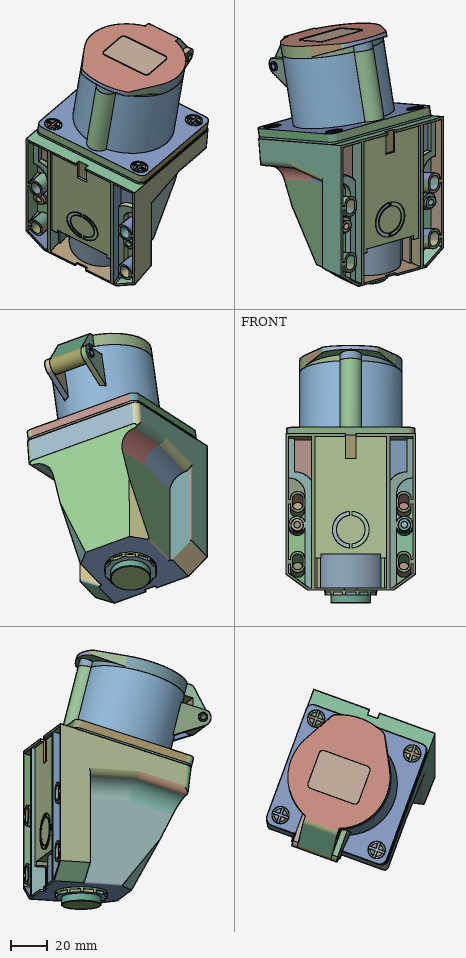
import cadquery as cq
import math


TILT = 14.2
SLOPE = math.tan(math.radians(TILT))
FACE_Y, FACE_Z = 43.15, 80.46
tilted = cq.Plane(
    origin=(0, FACE_Y, FACE_Z),
    xDir=(1, 0, 0),
    normal=(0, math.sin(math.radians(TILT)), math.cos(math.radians(TILT))),
)

PLATE = 70.0
PLATE_CORNER = 4.0
PLATE_THICK = 4.6
BARREL_R = 28.0
BARREL_H = 39.3
KEY_R = 6.0
KEY_OFFSET = 27.0
SCREW_PITCH = 56.2
SCREW_RECESS_D = 9.5
SCREW_HEAD_D = 9.3
SCREW_TOP_D = 7.0
SCREW_SLOT_W = 1.4
SCREW_DEPTH = 0.6

LID_H = 6.9
LID_TOP = BARREL_H + LID_H
SPOUT_R = 34.4
SPOUT_START = 13.4
SPOUT_TIP_THICK = 2.2
SPOUT_CORNER = 4.0
SPOUT_ROOT_GAP = 0.7
LABEL_X, LABEL_Y, LABEL_CORNER, LABEL_DEPTH = 29.6, 22.0, 2.3, 0.4
HINGE_Y, HINGE_Z = 87.8, 99.8
HINGE_R = 4.75
EAR_OUT, EAR_IN = 13.1, 9.9
EAR_TOP = 34.0
EAR_FOOT = 14.6
EAR_ROOT = 20.0
PIN_D, PIN_BORE, PIN_HALF = 5.0, 3.35, 14.0
STRAP_INNER_Y = HINGE_Y - HINGE_R
STRAP_CREST_Y = 83.2
STRAP_CREST_R = 3.0

HALF_W = 35.5
RIM_DROP = 5.75
HOOD_BACK_Y, HOOD_BACK_Z = 73.7, 53.0
HOOD_TOP_BACK_Y = 75.3
HOOD_CORNER = 3.2
HOOD_UNDER_Z = 61.6
BEND_Y = 45.2
HOOD_ROUND_R = 3.9
COVE_R = 9.7
BELLY_HALF = HALF_W - HOOD_ROUND_R - COVE_R
BELLY_FOOT_Y = 47.0
BELLY_CUT_Y, BELLY_CUT_Z = 60.2, 26.9
BELLY_CUT_FOOT_Y = 39.0
BELLY_CUT_X = 14.0
FLANGE_Y = 17.3
EDGE_ROUND = 0.9
FLANGE_CUT_X, FLANGE_CUT_Z = 12.0, 8.7

WALL = 1.4
FLOOR = 1.1
RIB_OUT, RIB_IN = 21.5, 19.6
BAY_DEPTH = 5.2
OUTER_BAY_X = 25.0
OUTER_BAY_DEPTH = 9.5
OUTER_BAY_Z = 61.2
OUTER_BAY_R = 8.8
UPPER_BAY_X = 30.7
UPPER_BAY_DEPTH = 7.9
UPPER_BAY_Z = 64.6
UPPER_BAY_LOW_Z = 59.8
PANEL_DEPTH = 1.8
PANEL_SLOT_W, PANEL_SLOT_Z, PANEL_SLOT_DEPTH = 5.9, 72.0, 3.0
FLOOR_NOTCH_W = 6.6
KNOCKOUT_Z, KNOCKOUT_D, KNOCKOUT_IN_D = 33.0, 20.0, 15.6
KNOCKOUT_BRIDGE, KNOCKOUT_DEPTH = 1.2, 0.5
ENTRY_Z, ENTRY_NOTCH_Z, ENTRY_NOTCH_W = 17.5, 19.7, 32.3
ENTRY_DEPTH = 14.5
ENTRY_STEP_X, ENTRY_STEP_DEPTH = 18.4, 8.0
ENTRY_R = 18.4

BOSS_X = 29.0
BOSS_ZS = (15.4, 48.2)
BOSS_W, BOSS_L = 8.0, 11.5
SLOT_W, SLOT_L = 5.7, 8.6
BOSS_FALL = 0.28
SLOT_DEPTH = 16.4
WEB_T = 2.4
PILLAR_X, PILLAR_Z = 29.3, 35.7
PILLAR_D, PILLAR_BASE_D, PILLAR_HOLE_D = 6.75, 9.3, 3.5
PILLAR_FACE, PILLAR_BASE_FACE = 3.2, 5.2
PILLAR_HOLE_DEPTH = 8.0

GLAND_Y = 22.4
GLAND_D, GLAND_H, GLAND_DISC_H = 28.6, 2.8, 1.1
GRIP_COUNT, GRIP_R, GRIP_DEPTH = 12, 10.0, 0.7
GRIP_OFFSET = GLAND_D / 2 + GRIP_R - GRIP_DEPTH
TUBE_D, TUBE_BOTTOM, TUBE_CHAMFER = 21.75, -7.04, 0.3

CLEAR = 100.0


def sloped_z(y, below):
    """Height at depth y of the plane parallel to the plate, the given distance below its top."""
    return FACE_Z - (y - FACE_Y) * SLOPE - below / math.cos(math.radians(TILT))


def in_side_plane(across, along):
    """Y and Z of a point given across and along the tilted socket axis."""
    point = tilted.toWorldCoords((0, across, along))
    return point.y, point.z


def from_wall(depth_start, depth, sketch):
    """Extrude an XZ outline away from the wall between two depths."""
    plane = cq.Workplane("XZ", origin=(0, depth_start, 0))
    return sketch(plane).extrude(depth_start - depth)


def side_prism(points, half_width):
    """Prism across X from a YZ outline."""
    return cq.Workplane("YZ").polyline(points).close().extrude(half_width, both=True)


def both_sides(shape):
    return shape.union(shape.mirror("YZ"))


def at_height(height):
    return cq.Workplane(tilted).workplane(offset=height)


def rounded_slab(height, size_x, size_y, thick, corner):
    """Rectangular slab square to the socket axis, with rounded corners."""
    slab = at_height(height).rect(size_x, size_y).extrude(thick)
    return slab.edges(cq.selectors.ParallelDirSelector(tilted.zDir)).fillet(corner)


def hood_section(plane, drop):
    """Cross-section: wide hood, rounded edge, cove and narrow belly; drop lowers it all."""
    z = HOOD_UNDER_Z - drop
    diag = math.sqrt(0.5)
    knee_x = HALF_W - HOOD_ROUND_R
    knee_z = z - HOOD_ROUND_R
    round_mid = (knee_x + HOOD_ROUND_R * diag, z - HOOD_ROUND_R * diag)
    cove_mid = (knee_x - COVE_R * diag, knee_z - COVE_R + COVE_R * diag)
    cove_end = (BELLY_HALF, knee_z - COVE_R)
    return (
        plane.moveTo(0, CLEAR)
        .lineTo(HALF_W, CLEAR)
        .lineTo(HALF_W, z)
        .threePointArc(round_mid, (knee_x, knee_z))
        .threePointArc(cove_mid, cove_end)
        .lineTo(BELLY_HALF, -CLEAR)
        .lineTo(0, -CLEAR)
        .close()
    )


def hood_and_belly():
    level = hood_section(cq.Workplane("XZ"), 0).extrude(-CLEAR)
    bend_plane = cq.Plane(
        origin=(0, BEND_Y, HOOD_UNDER_Z), xDir=(1, 0, 0), normal=(0, -tilted.yDir.y, -tilted.yDir.z)
    )
    sloping = hood_section(cq.Workplane(bend_plane), HOOD_UNDER_Z).extrude(CLEAR / 2, both=True)
    half = level.union(sloping)
    back_top = (HOOD_TOP_BACK_Y, sloped_z(HOOD_TOP_BACK_Y, RIM_DROP))
    outline = side_prism(
        [
            (FLANGE_Y / 2, 0),
            (BELLY_FOOT_Y, 0),
            (HOOD_BACK_Y, HOOD_BACK_Z),
            back_top,
            (FLANGE_Y / 2, sloped_z(FLANGE_Y / 2, RIM_DROP)),
        ],
        HALF_W,
    )
    back_mid_z = (HOOD_BACK_Z + back_top[1]) / 2
    back_mid_y = (HOOD_BACK_Y + HOOD_TOP_BACK_Y) / 2
    for x in (-HALF_W, HALF_W):
        nearest = cq.selectors.NearestToPointSelector((x, back_mid_y, back_mid_z))
        outline = outline.edges(nearest).fillet(HOOD_CORNER)
    body = both_sides(half).intersect(outline)
    return body.faces("<Z").edges("|Y").fillet(EDGE_ROUND).cut(belly_corner_cut())


def belly_corner_cut():
    """Wedges that slice the lower rear corners of the belly."""
    upper = cq.Vector(BELLY_HALF, BELLY_CUT_Y, BELLY_CUT_Z)
    side_foot = cq.Vector(BELLY_HALF, BELLY_CUT_FOOT_Y, 0)
    rear_foot = cq.Vector(BELLY_CUT_X, BELLY_FOOT_Y, 0)
    normal = (side_foot - upper).cross(rear_foot - upper)
    if normal.x < 0:
        normal = normal * -1
    plane = cq.Plane(origin=upper.toTuple(), xDir=(side_foot - upper).toTuple(), normal=normal.toTuple())
    wedge = cq.Workplane(plane).rect(CLEAR, CLEAR).extrude(BELLY_HALF)
    below_hood = cq.Workplane("XY").rect(CLEAR, 2 * CLEAR).extrude(BELLY_CUT_Z)
    return both_sides(wedge.intersect(below_hood))


def flange_outline(inset, bottom):
    """Wall outline with its lower corners cut off; the top runs past the roof."""
    side = HALF_W - inset
    cut_slope = FLANGE_CUT_Z / FLANGE_CUT_X
    cut_shift = inset * math.hypot(1, cut_slope)
    cut_top = FLANGE_CUT_Z + cut_shift - inset * cut_slope
    cut_x = side - (cut_top - bottom) / cut_slope
    points = [(cut_x, bottom), (side, cut_top), (side, CLEAR)]
    mirrored = [(-x, z) for x, z in reversed(points)]
    return lambda plane: plane.polyline(points + mirrored).close()


def below_roof(shape, below, depth):
    """Keep what lies under the sloped plane the given distance below the plate top."""
    roof = [(0, -CLEAR), (depth, -CLEAR), (depth, sloped_z(depth, below)), (0, sloped_z(0, below))]
    return shape.intersect(side_prism(roof, CLEAR))


def flange():
    block = from_wall(0, FLANGE_Y, flange_outline(0, 0))
    edges = block.faces(">Y").edges("not(>Z or <Z)")
    return below_roof(edges.fillet(EDGE_ROUND), RIM_DROP, FLANGE_Y)


def rim():
    """Low lip under the plate."""
    return rounded_slab(-RIM_DROP, PLATE, PLATE, RIM_DROP - PLATE_THICK, PLATE_CORNER)


def bay_outline(plane):
    """Right-hand bay between the rib and the outer wall."""
    width = HALF_W - RIB_OUT
    return plane.center(RIB_OUT + width / 2, 0).rect(width, 2 * CLEAR)


def outer_bay_outline(plane):
    """Outer part of the bay, under a rounded shoulder."""
    diag = math.sqrt(0.5)
    centre_x = OUTER_BAY_X + OUTER_BAY_R
    centre_z = OUTER_BAY_Z - OUTER_BAY_R
    return (
        plane.moveTo(OUTER_BAY_X, -CLEAR)
        .lineTo(OUTER_BAY_X, centre_z)
        .threePointArc(
            (centre_x - OUTER_BAY_R * diag, centre_z + OUTER_BAY_R * diag), (centre_x, OUTER_BAY_Z)
        )
        .lineTo(HALF_W, OUTER_BAY_Z)
        .lineTo(HALF_W, -CLEAR)
        .close()
    )


def upper_bay_outline(plane):
    """Inner upper part of the bay, over the curved wall of the cove."""
    run = UPPER_BAY_X - RIB_OUT
    drop = UPPER_BAY_Z - UPPER_BAY_LOW_Z
    radius = (run**2 + drop**2) / (2 * drop)
    mid_x = UPPER_BAY_X - run / 2
    mid_z = UPPER_BAY_Z - radius + math.sqrt(radius**2 - (run / 2) ** 2)
    return (
        plane.moveTo(RIB_OUT, CLEAR)
        .lineTo(UPPER_BAY_X, CLEAR)
        .lineTo(UPPER_BAY_X, UPPER_BAY_Z)
        .threePointArc((mid_x, mid_z), (RIB_OUT, UPPER_BAY_LOW_Z))
        .close()
    )


def side_bays():
    bay = from_wall(0, BAY_DEPTH, bay_outline)
    bay = bay.union(from_wall(0, OUTER_BAY_DEPTH, outer_bay_outline))
    bay = bay.union(from_wall(0, UPPER_BAY_DEPTH, upper_bay_outline))
    bay = bay.intersect(from_wall(0, OUTER_BAY_DEPTH, flange_outline(WALL, FLOOR)))
    return both_sides(below_roof(bay, RIM_DROP + WALL, OUTER_BAY_DEPTH))


def slanted(outline, start, end):
    """Run an XZ outline back from the wall between two depths, falling as it goes."""
    front = outline(cq.Workplane("XZ", origin=(0, start, 0))).wire().val()
    back = front.translate(cq.Vector(0, end - start, -BOSS_FALL * (end - start)))
    return cq.Workplane(cq.Solid.makeLoft([front, back], True))


def upright_slot(width, length, z):
    return lambda plane: plane.center(BOSS_X, z).slot2D(length, width, 90)


def pillar_circle(diameter):
    return lambda plane: plane.center(PILLAR_X, PILLAR_Z).circle(diameter / 2)


def boss_web(z):
    """Web from a slotted boss to the outer wall."""
    width = HALF_W - WALL / 2 - BOSS_X
    return from_wall(0, OUTER_BAY_DEPTH, lambda p: p.center(BOSS_X + width / 2, z).rect(width, WEB_T))


def bosses():
    limit = from_wall(0, OUTER_BAY_DEPTH, flange_outline(0, 0))
    body = slanted(pillar_circle(PILLAR_D), PILLAR_FACE, OUTER_BAY_DEPTH)
    body = body.union(slanted(pillar_circle(PILLAR_BASE_D), PILLAR_BASE_FACE, OUTER_BAY_DEPTH))
    for z in BOSS_ZS:
        body = body.union(slanted(upright_slot(BOSS_W, BOSS_L, z), 0, OUTER_BAY_DEPTH)).union(boss_web(z))
    return both_sides(body.intersect(limit))


def boss_holes():
    hole = from_wall(0, PILLAR_HOLE_DEPTH, pillar_circle(PILLAR_HOLE_D))
    for z in BOSS_ZS:
        hole = hole.union(slanted(upright_slot(SLOT_W, SLOT_L, z), 0, SLOT_DEPTH))
    return both_sides(hole)


def rect_pocket(half_width, z_low, z_high, depth):
    height = z_high - z_low
    return from_wall(0, depth, lambda p: p.center(0, z_low + height / 2).rect(2 * half_width, height))


def centre_panel():
    """Shallow panel recess with its top slot and knockout ring."""
    panel = rect_pocket(RIB_IN, FLOOR, sloped_z(0, RIM_DROP + WALL), PANEL_DEPTH)
    slot = rect_pocket(PANEL_SLOT_W / 2, PANEL_SLOT_Z, CLEAR, PANEL_SLOT_DEPTH)
    floor_notch = rect_pocket(FLOOR_NOTCH_W / 2, 0, FLOOR, PANEL_DEPTH)
    ring_depth = PANEL_DEPTH + KNOCKOUT_DEPTH
    ring = from_wall(
        0, ring_depth, lambda p: p.center(0, KNOCKOUT_Z).circle(KNOCKOUT_D / 2).circle(KNOCKOUT_IN_D / 2)
    )
    bridge = rect_pocket(KNOCKOUT_BRIDGE / 2, 0, 2 * KNOCKOUT_Z, ring_depth)
    return panel.union(slot).union(floor_notch).union(ring.cut(bridge))


def cable_entry():
    """Deep pocket under the panel, around the round entry wall."""
    pocket = rect_pocket(RIB_IN, FLOOR, ENTRY_Z, ENTRY_STEP_DEPTH)
    pocket = pocket.union(rect_pocket(ENTRY_STEP_X, FLOOR, ENTRY_Z, ENTRY_DEPTH))
    pocket = pocket.union(rect_pocket(ENTRY_NOTCH_W / 2, FLOOR, ENTRY_NOTCH_Z, ENTRY_DEPTH))
    return pocket.cut(cq.Workplane("XY").center(0, GLAND_Y).circle(ENTRY_R).extrude(ENTRY_NOTCH_Z))


def gland():
    """Grip ring and tube under the housing floor."""
    ring = cq.Workplane("XY").center(0, GLAND_Y).circle(GLAND_D / 2).extrude(-GLAND_H)
    grips = (
        cq.Workplane("XY", origin=(0, GLAND_Y, -GLAND_DISC_H))
        .polarArray(GRIP_OFFSET, 0, 360, GRIP_COUNT)
        .circle(GRIP_R)
        .extrude(-GLAND_H)
    )
    tube = cq.Workplane("XY").center(0, GLAND_Y).circle(TUBE_D / 2).extrude(TUBE_BOTTOM)
    return ring.cut(grips).union(tube.faces("<Z").chamfer(TUBE_CHAMFER))


def make_housing():
    body = hood_and_belly().union(flange()).union(rim())
    body = body.cut(side_bays()).union(bosses()).cut(boss_holes())
    body = body.cut(centre_panel()).cut(cable_entry())
    return body.union(gland())


def key_rib(height_start, height):
    return at_height(height_start).center(0, -KEY_OFFSET).circle(KEY_R).extrude(height)


def tangent_point(y, z, side):
    """Point on the hinge round where a line from (y, z) touches it; side picks which of the two."""
    away = math.atan2(z - HINGE_Z, y - HINGE_Y)
    swing = math.acos(HINGE_R / math.hypot(y - HINGE_Y, z - HINGE_Z))
    angle = away + side * swing
    return HINGE_Y + HINGE_R * math.cos(angle), HINGE_Z + HINGE_R * math.sin(angle)


def ear_top_end():
    """Point where the ear top, parallel to the plate, runs into the hinge round."""
    hinge = tilted.toLocalCoords(cq.Vector(0, HINGE_Y, HINGE_Z))
    return in_side_plane(hinge.y + math.sqrt(HINGE_R**2 - (EAR_TOP - hinge.z) ** 2), EAR_TOP)


def hinge_ears():
    foot = in_side_plane(math.sqrt(BARREL_R**2 - EAR_OUT**2), EAR_FOOT)
    ear = (
        cq.Workplane("YZ", origin=(EAR_IN, 0, 0))
        .moveTo(*in_side_plane(EAR_ROOT, EAR_TOP))
        .lineTo(*ear_top_end())
        .threePointArc((HINGE_Y + HINGE_R, HINGE_Z), tangent_point(*foot, 1))
        .lineTo(*foot)
        .lineTo(*in_side_plane(EAR_ROOT, EAR_FOOT))
        .close()
        .extrude(EAR_OUT - EAR_IN)
    )
    return both_sides(ear)


def hinge_cylinder(diameter, half_length):
    return cq.Workplane("YZ").center(HINGE_Y, HINGE_Z).circle(diameter / 2).extrude(half_length, both=True)


def screw_recesses():
    """Clearance around each tapered screw head, and its cross slot."""
    spots = at_height(-SCREW_DEPTH).rect(SCREW_PITCH, SCREW_PITCH, forConstruction=True).vertices()
    taper = math.degrees(math.atan((SCREW_HEAD_D - SCREW_TOP_D) / 2 / SCREW_DEPTH))
    recess = spots.circle(SCREW_RECESS_D / 2).extrude(SCREW_DEPTH)
    heads = spots.circle(SCREW_HEAD_D / 2).extrude(SCREW_DEPTH, taper=taper)
    upright = spots.rect(SCREW_SLOT_W, SCREW_HEAD_D).extrude(SCREW_DEPTH)
    level = spots.rect(SCREW_HEAD_D, SCREW_SLOT_W).extrude(SCREW_DEPTH)
    return recess.cut(heads).union(upright).union(level)


def make_socket():
    plate = rounded_slab(-PLATE_THICK, PLATE, PLATE, PLATE_THICK, PLATE_CORNER)
    barrel = at_height(0).circle(BARREL_R).extrude(BARREL_H)
    body = plate.union(barrel).union(key_rib(0, BARREL_H)).union(hinge_ears())
    return body.cut(screw_recesses()).cut(hinge_cylinder(PIN_D, PIN_HALF))


def spout():
    """Finger lip: lines tangent to the lid run to a wider arc; the underside slopes up to the tip."""
    start_x = math.sqrt(BARREL_R**2 - SPOUT_START**2)
    reach = math.sqrt(SPOUT_R**2 - BARREL_R**2)
    end_x = start_x - reach * SPOUT_START / BARREL_R
    end_y = -SPOUT_START - reach * start_x / BARREL_R
    lip = (
        at_height(BARREL_H)
        .moveTo(-start_x, -SPOUT_START)
        .lineTo(-end_x, end_y)
        .threePointArc((0, -SPOUT_R), (end_x, end_y))
        .lineTo(start_x, -SPOUT_START)
        .close()
        .extrude(LID_H)
    )
    for x in (-end_x, end_x):
        corner = tilted.toWorldCoords((x, end_y, BARREL_H + LID_H / 2)).toTuple()
        lip = lip.edges(cq.selectors.NearestToPointSelector(corner)).fillet(SPOUT_CORNER)
    underside = [
        in_side_plane(-SPOUT_START, BARREL_H + SPOUT_ROOT_GAP),
        in_side_plane(-SPOUT_R, LID_TOP - SPOUT_TIP_THICK),
        in_side_plane(-SPOUT_R, BARREL_H),
        in_side_plane(-SPOUT_START, BARREL_H),
    ]
    return lip.cut(side_prism(underside, HALF_W))


def hinge_strap():
    """Strap from the lid down to the pin, between the ears."""
    crest_across = (STRAP_CREST_Y - FACE_Y - LID_TOP * tilted.zDir.y) / tilted.yDir.y
    crest = in_side_plane(crest_across, LID_TOP)
    inner_top_z = sloped_z(STRAP_INNER_Y, -BARREL_H)
    strap = (
        cq.Workplane("YZ")
        .moveTo(*in_side_plane(0, LID_TOP))
        .lineTo(*crest)
        .lineTo(*tangent_point(*crest, -1))
        .threePointArc((HINGE_Y, HINGE_Z - HINGE_R), (STRAP_INNER_Y, HINGE_Z))
        .lineTo(STRAP_INNER_Y, inner_top_z)
        .lineTo(*in_side_plane(0, BARREL_H))
        .close()
        .extrude(EAR_IN, both=True)
    )
    crest_edge = cq.selectors.NearestToPointSelector((0, *crest))
    return strap.edges(crest_edge).fillet(STRAP_CREST_R)


def make_lid():
    disc = at_height(BARREL_H).circle(BARREL_R).extrude(LID_H)
    key = key_rib(BARREL_H, LID_H - SPOUT_TIP_THICK)
    label = rounded_slab(LID_TOP - LABEL_DEPTH, LABEL_X, LABEL_Y, LABEL_DEPTH, LABEL_CORNER)
    body = disc.union(spout()).union(key).union(hinge_strap()).cut(label)
    return body.union(hinge_cylinder(PIN_D, PIN_HALF)).cut(hinge_cylinder(PIN_BORE, PIN_HALF))


housing = make_housing()
socket = make_socket()
lid = make_lid()

result = cq.Compound.makeCompound([*housing.vals(), *socket.vals(), *lid.vals()])